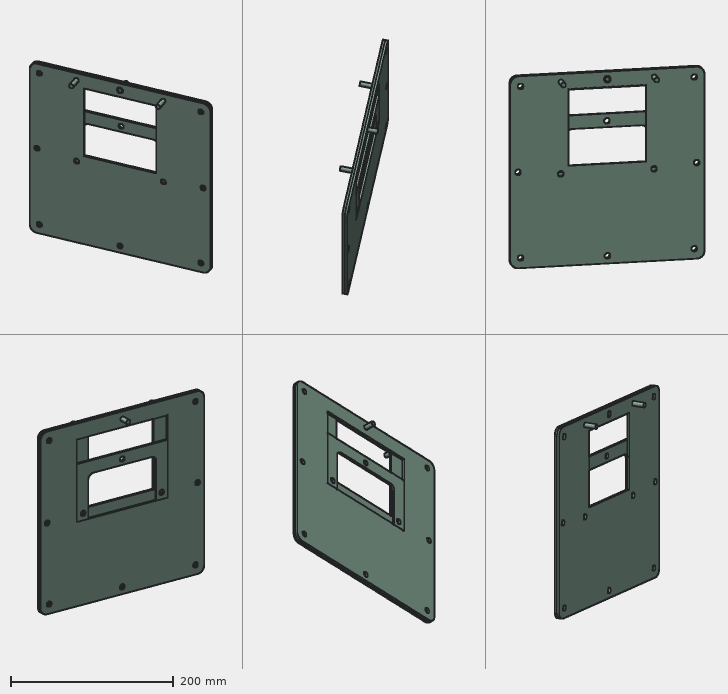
import cadquery as cq

plate_side = 244.5
plate_corner_radius = 9.8
plate_thickness = 3.2
total_depth = 35.0

hole_diameter = 7.0
corner_hole_offset = 109.3
edge_hole_offset = 112.5

pin_diameter = 6.0
pin_length = (total_depth + plate_thickness) / 2
rear_pin_clearance_diameter = 8.3

pattern_side = 117.3
pattern_half = pattern_side / 2
pin_height = edge_hole_offset
pattern_center_height = pin_height - pattern_half
latch_hole_height = pin_height - pattern_side

window_side = 97.8

slider_lift = 5.0
slider_hole_to_outside = 9.3
bar_hole_to_inside = 8.0
leg_hole_to_inside = 7.8
slider_inner_radius = 7.3
slider_hole_height = pattern_center_height + slider_lift
slider_foot_hole_height = latch_hole_height + slider_lift
slider_top = slider_hole_height + slider_hole_to_outside
slider_bottom = slider_foot_hole_height - slider_hole_to_outside
slider_width = pattern_side + 2 * slider_hole_to_outside
slider_height = slider_top - slider_bottom
slot_width = pattern_side - 2 * leg_hole_to_inside
slot_top = slider_hole_height - bar_hole_to_inside

guide_top = 101.0
guide_height = guide_top - slider_bottom


def box_between(width, height, center_z, depth, start_y):
    """Block centred on X = 0, from start_y toward +Y."""
    return cq.Workplane("XY").box(width, depth, height).translate((0, start_y + depth / 2, center_z))


def rod(x, z, diameter, length, start_y):
    """Cylinder along Y, from start_y toward +Y."""
    return cq.Workplane("XZ", origin=(x, start_y, z)).circle(diameter / 2).extrude(-length)


def drill(body, centers, diameter, start_y):
    """Cut a hole through one plate thickness at each (x, z) center."""
    for x, z in centers:
        body = body.cut(rod(x, z, diameter, plate_thickness, start_y))
    return body


corner_holes = [(sx * corner_hole_offset, sz * corner_hole_offset) for sx in (-1, 1) for sz in (-1, 1)]
edge_holes = [(-edge_hole_offset, 0), (edge_hole_offset, 0), (0, -edge_hole_offset)]
screw_holes = corner_holes + edge_holes
front_pin_centers = [(-pattern_half, pin_height), (pattern_half, pin_height)]
rear_pin_center = (0, pin_height)
front_start = -plate_thickness
rear_start = 0


def make_blank_plate(start_y):
    """Rounded square plate with the screw holes."""
    plate = box_between(plate_side, plate_side, 0, plate_thickness, start_y)
    plate = plate.edges("|Y").fillet(plate_corner_radius)
    return drill(plate, screw_holes, hole_diameter, start_y)


def make_front_plate():
    plate = make_blank_plate(front_start)
    window = box_between(window_side, window_side, pattern_center_height, plate_thickness, front_start)
    plate = plate.cut(window)
    latch_holes = [(-pattern_half, latch_hole_height), (pattern_half, latch_hole_height)]
    plate = drill(plate, latch_holes, hole_diameter, front_start)
    plate = drill(plate, front_pin_centers, pin_diameter, front_start)
    return drill(plate, [rear_pin_center], rear_pin_clearance_diameter, front_start)


def make_rear_plate():
    plate = make_blank_plate(rear_start)
    guide_center = guide_top - guide_height / 2
    plate = plate.cut(box_between(slider_width, guide_height, guide_center, plate_thickness, rear_start))
    return drill(plate, [rear_pin_center], pin_diameter, rear_start)


def make_slider():
    slider_center = (slider_top + slider_bottom) / 2
    slider = box_between(slider_width, slider_height, slider_center, plate_thickness, rear_start)
    slot_height = slot_top - slider_bottom
    slot_center = slot_top - slot_height / 2
    slot = box_between(slot_width, slot_height, slot_center, plate_thickness, rear_start)
    slot = slot.edges("|Y and >Z").fillet(slider_inner_radius)
    slider = slider.cut(slot)
    slider_holes = [
        (0, slider_hole_height),
        (-pattern_half, slider_foot_hole_height),
        (pattern_half, slider_foot_hole_height),
    ]
    return drill(slider, slider_holes, hole_diameter, rear_start)


def make_pin(center, start_y):
    x, z = center
    return rod(x, z, pin_diameter, pin_length, start_y)


front_plate = make_front_plate()
rear_plate = make_rear_plate()
slider = make_slider()
rear_pin = make_pin(rear_pin_center, front_start)
front_pins = [make_pin(center, -pin_length) for center in front_pin_centers]

result = cq.Compound.makeCompound([
    front_plate.val(),
    rear_plate.val(),
    slider.val(),
    rear_pin.val(),
    *[pin.val() for pin in front_pins],
])